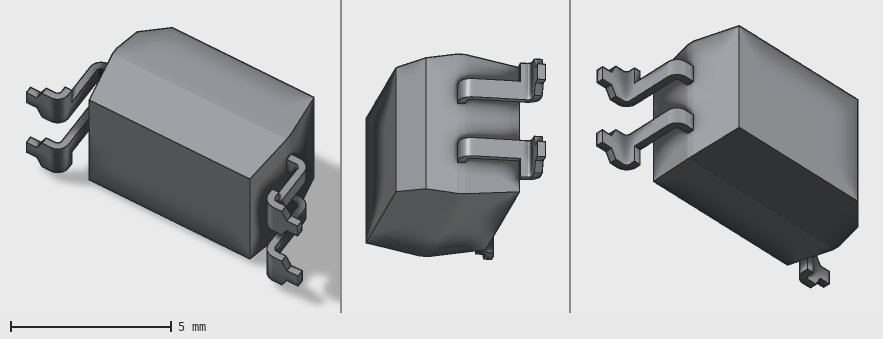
import cadquery as cq

BAND_LENGTH = 6.41
BAND_WIDTH = 4.58
HOUSING_HEIGHT = 3.8
DRAFT_INSET = 0.25
CORNER_CHAMFER = 0.8

LEAD_THICKNESS = 0.25
LEAD_PITCH = 2.54
LEG_CENTRE_X = 3.81
INNER_BEND_RADIUS = 0.15
STANDOFF = 0.45
WIDE_WIDTH = 1.2
NARROW_WIDTH = WIDE_WIDTH / 2
WIDE_HEIGHT = 0.6
TIP_WIDTH = 0.5
TAPER_START_X = 4.41
TAPER_END_X = 4.6
FOOT_REACH = 4.99
LONG_FOOT_REACH = 5.01

HALF_HEIGHT = (HOUSING_HEIGHT - LEAD_THICKNESS) / 2
OUTER_BEND_RADIUS = INNER_BEND_RADIUS + LEAD_THICKNESS
HALF_BAND = LEAD_THICKNESS / 2
SOLE_Y = -HALF_BAND - HALF_HEIGHT - STANDOFF
LEG_INNER_X = LEG_CENTRE_X - LEAD_THICKNESS / 2
LEG_OUTER_X = LEG_CENTRE_X + LEAD_THICKNESS / 2


def drafted_half(direction):
    """Half of the housing that narrows away from the band; direction is +1 or -1 along Y."""
    band_face = cq.Workplane("XZ", origin=(0, direction * HALF_BAND, 0))
    return (
        band_face.rect(BAND_LENGTH, BAND_WIDTH)
        .workplane(offset=-direction * HALF_HEIGHT)
        .rect(BAND_LENGTH - 2 * DRAFT_INSET, BAND_WIDTH - 2 * DRAFT_INSET)
        .loft(ruled=True)
    )


def corner_cutter():
    """Triangular prism that bevels the -X edge of the top at 45 degrees."""
    top_y = HALF_BAND + HALF_HEIGHT
    side_y = top_y - CORNER_CHAMFER
    side_x = -BAND_LENGTH / 2 + DRAFT_INSET * (side_y - HALF_BAND) / HALF_HEIGHT
    return (
        cq.Workplane("XY")
        .moveTo(side_x + CORNER_CHAMFER, top_y)
        .lineTo(side_x - CORNER_CHAMFER, top_y)
        .lineTo(side_x - CORNER_CHAMFER, side_y - CORNER_CHAMFER)
        .close()
        .extrude(BAND_WIDTH / 2, both=True)
    )


def make_housing():
    band = cq.Workplane("XY").box(BAND_LENGTH, LEAD_THICKNESS, BAND_WIDTH)
    return band.union(drafted_half(1)).union(drafted_half(-1)).cut(corner_cutter())


def lead_strip(reach):
    """Full-width bent strip on the +X side, centred on Z = 0."""
    foot_top_y = SOLE_Y + LEAD_THICKNESS
    profile = (
        cq.Workplane("XY")
        .moveTo(BAND_LENGTH / 2, HALF_BAND)
        .lineTo(LEG_OUTER_X - OUTER_BEND_RADIUS, HALF_BAND)
        .radiusArc((LEG_OUTER_X, HALF_BAND - OUTER_BEND_RADIUS), OUTER_BEND_RADIUS)
        .lineTo(LEG_OUTER_X, foot_top_y + INNER_BEND_RADIUS)
        .radiusArc((LEG_OUTER_X + INNER_BEND_RADIUS, foot_top_y), -INNER_BEND_RADIUS)
        .lineTo(reach, foot_top_y)
        .lineTo(reach, SOLE_Y)
        .lineTo(LEG_INNER_X + OUTER_BEND_RADIUS, SOLE_Y)
        .radiusArc((LEG_INNER_X, SOLE_Y + OUTER_BEND_RADIUS), OUTER_BEND_RADIUS)
        .lineTo(LEG_INNER_X, -HALF_BAND - INNER_BEND_RADIUS)
        .radiusArc((LEG_INNER_X - INNER_BEND_RADIUS, -HALF_BAND), -INNER_BEND_RADIUS)
        .lineTo(BAND_LENGTH / 2, -HALF_BAND)
        .close()
    )
    return profile.extrude(WIDE_WIDTH / 2, both=True)


def upper_envelope():
    """Block that keeps only the inner half of the strip's width above the wide part."""
    bottom_y = SOLE_Y + WIDE_HEIGHT
    return cq.Workplane("XY").box(
        LEG_OUTER_X, HALF_BAND - bottom_y, NARROW_WIDTH, centered=False
    ).translate((0, bottom_y, -NARROW_WIDTH))


def foot_envelope(reach):
    """Outline of the lower leg and foot, stepping down through a taper to the tip."""
    outline = (
        cq.Workplane("XZ", origin=(0, SOLE_Y, 0))
        .moveTo(0, WIDE_WIDTH / 2)
        .lineTo(TAPER_START_X, WIDE_WIDTH / 2)
        .lineTo(TAPER_END_X, TIP_WIDTH / 2)
        .lineTo(reach, TIP_WIDTH / 2)
        .lineTo(reach, -TIP_WIDTH / 2)
        .lineTo(TAPER_END_X, -TIP_WIDTH / 2)
        .lineTo(TAPER_START_X, -WIDE_WIDTH / 2)
        .lineTo(0, -WIDE_WIDTH / 2)
        .close()
    )
    return outline.extrude(-WIDE_HEIGHT)


def make_lead(side_x, side_z):
    """One lead; side_x and side_z (+1 or -1) select its corner of the housing."""
    is_long = side_x > 0 and side_z < 0
    reach = LONG_FOOT_REACH if is_long else FOOT_REACH
    envelope = upper_envelope().union(foot_envelope(reach))
    lead = lead_strip(reach).intersect(envelope).translate((0, 0, LEAD_PITCH / 2))
    if side_x < 0:
        lead = lead.mirror("YZ")
    if side_z < 0:
        lead = lead.mirror("XY")
    return lead


housing = make_housing()

leads = []
for side_x in (-1, 1):
    for side_z in (-1, 1):
        leads.append(make_lead(side_x, side_z).val())

result = cq.Compound.makeCompound([housing.val(), *leads])